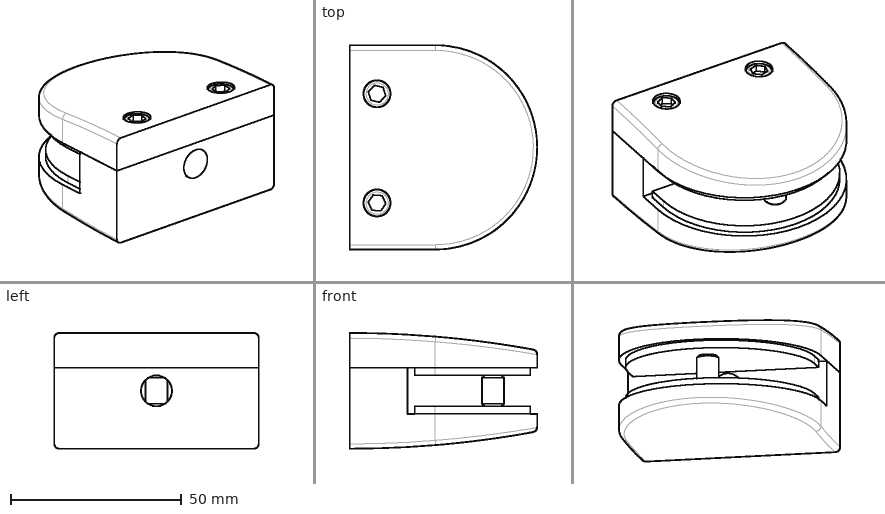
import cadquery as cq
import math

length = 55.0
width = 60.0
height = 34.0
nose_radius = width / 2
nose_center_x = length - nose_radius
crown_radius = 300.0
rim_fillet = 1.5

slot_height = 13.5
slot_back_x = 17.0
panel_gap = 9.0
pad_back_x = 19.0
pad_inset = 2.0
pad_thickness = (slot_height - panel_gap) / 2

bore_diameter = 9.0

pin_x = 42.0
pin_diameter = 6.5
pin_chamfer = 0.7

screw_x = 8.0
screw_spacing = 32.0
screw_mid_y = -0.3
recess_diameter = 8.0
head_diameter = 7.8
head_height = 2.5
head_edge_radius = 0.65
head_sink = 0.5
socket_across_flats = 4.5
socket_depth = 2.0
socket_turns = [-4.0, -13.0]


def d_outline(back_x, inset, bottom_z, thickness):
    """D-shaped slab, inset from the clamp outline on the sides and the nose."""
    radius = nose_radius - inset
    return (
        cq.Workplane("XY", origin=(0, 0, bottom_z))
        .moveTo(back_x, -radius)
        .lineTo(nose_center_x, -radius)
        .threePointArc((nose_center_x + radius, 0), (nose_center_x, radius))
        .lineTo(back_x, radius)
        .close()
        .extrude(thickness)
    )


def crown_drop(x):
    """How far the crowned face has fallen at distance x from the back."""
    return crown_radius - math.sqrt(crown_radius**2 - x**2)


def clamp_envelope():
    """Both clamp halves as one shape, crowned and with rounded rims."""
    top = height / 2
    mid_z = top - crown_drop(length / 2)
    nose_z = top - crown_drop(length)
    side_profile = (
        cq.Workplane("XZ")
        .moveTo(0, -top)
        .threePointArc((length / 2, -mid_z), (length, -nose_z))
        .lineTo(length, nose_z)
        .threePointArc((length / 2, mid_z), (0, top))
        .close()
        .extrude(width / 2, both=True)
    )
    envelope = d_outline(0, 0, -top, height).intersect(side_profile)
    rims = envelope.faces(">Z or <Z").edges("not(<X)")
    return rims.fillet(rim_fillet)


def covering_block(bottom_z):
    """Block one clamp height tall, starting at bottom_z, that covers the whole outline."""
    block = cq.Workplane("XY", origin=(length / 2, 0, bottom_z))
    return block.box(length, width, height, centered=(True, True, False))


def screw_head_cut(y, turn):
    """Material removed around and above one sunken screw head, with its hex socket."""
    seat_z = height / 2 - head_sink - head_height
    seat = cq.Workplane("XY", origin=(screw_x, y, seat_z))
    recess = seat.circle(recess_diameter / 2).extrude(head_height + head_sink)
    head = (
        seat.circle(head_diameter / 2)
        .extrude(head_height)
        .faces(">Z")
        .edges()
        .fillet(head_edge_radius)
    )
    socket_corners = socket_across_flats / math.cos(math.pi / 6)
    socket = (
        seat.workplane(offset=head_height)
        .transformed(rotate=(0, 0, turn))
        .polygon(6, socket_corners)
        .extrude(-socket_depth)
    )
    return recess.cut(head).union(socket)


def make_base(envelope):
    """Lower half: back wall with the bore, slot floor and the lower pad."""
    slot = covering_block(-slot_height / 2).translate((slot_back_x, 0, 0))
    cover_side = covering_block(slot_height / 2)
    pad = d_outline(pad_back_x, pad_inset, -slot_height / 2, pad_thickness)
    bore = cq.Workplane("YZ").circle(bore_diameter / 2).extrude(slot_back_x)
    return envelope.cut(slot).cut(cover_side).union(pad).cut(bore)


def make_cover(envelope):
    """Upper half with the upper pad and the two screw heads."""
    pad = d_outline(pad_back_x, pad_inset, panel_gap / 2, pad_thickness)
    cover = envelope.intersect(covering_block(slot_height / 2)).union(pad)
    for side, turn in zip((-1, 1), socket_turns):
        y = screw_mid_y + side * screw_spacing / 2
        cover = cover.cut(screw_head_cut(y, turn))
    return cover


def make_pin():
    """Round pin with chamfered ends, reaching from pad to pad."""
    return (
        cq.Workplane("XY", origin=(pin_x, 0, -panel_gap / 2))
        .circle(pin_diameter / 2)
        .extrude(panel_gap)
        .faces("<Z or >Z")
        .edges()
        .chamfer(pin_chamfer)
    )


envelope = clamp_envelope()
base = make_base(envelope)
cover = make_cover(envelope)
pin = make_pin()

result = cq.Compound.makeCompound([base.val(), cover.val(), pin.val()])